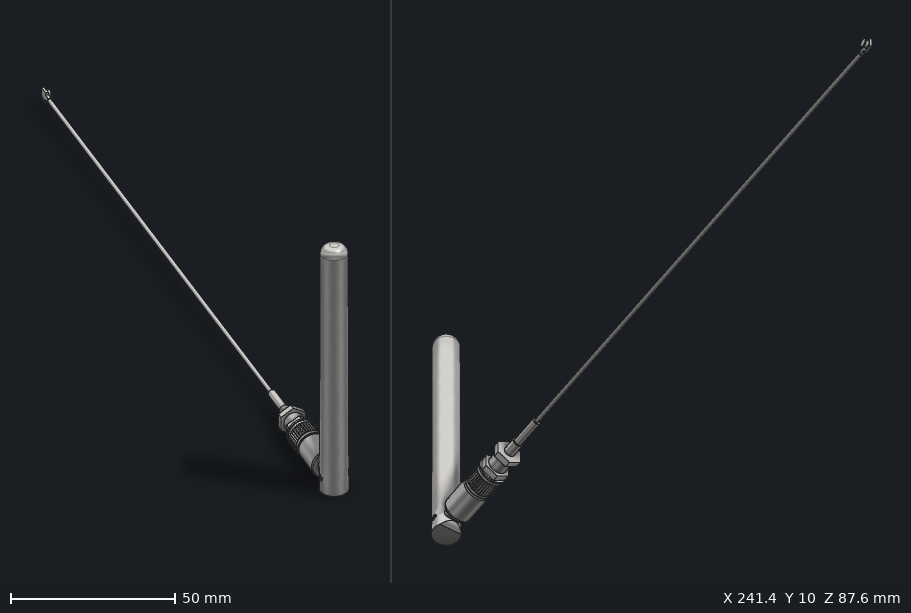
import cadquery as cq
import math


PLUG_TAIL_END = 5.5
SLEEVE_START = 186.5
COLLAR_START = 196.8
FLANGE_START = 201.5
FLANGE_END = 203.8
HEX_NUT_START = 208.4
COUPLING_START = 210.5
COUPLING_END = 219.0
SWIVEL_END = 230.8
WHIP_X = 236.9

PLUG_SIDE = 3.5
PLUG_THICKNESS = 1.0
PLUG_TAIL_WIDTH = 1.7
PLUG_NECK_DIAMETER = 2.5
PLUG_NECK_HEIGHT = 1.2
PLUG_RIM_DIAMETER = 3.0
PLUG_RIM_HEIGHT = 0.36

CABLE_DIAMETER = 1.5
SLEEVE_DIAMETER = 2.7
COLLAR_DIAMETER = 3.6
THREAD_DIAMETER = 6.3
HEX_CORNER_DIAMETER = 9.5

COUPLING_DIAMETER = 10.0
COUPLING_BODY_DIAMETER = 9.5
RIM_WIDTH = 0.7
KNURL_START = 212.5
KNURL_END = 217.8
KNURL_COUNT = 36
KNURL_DEPTH = 0.36

SWIVEL_DIAMETER = 9.5
SWIVEL_CHAMFER_LENGTH = 0.7
SWIVEL_CHAMFER_DEPTH = 0.2
STUB_DIAMETER = 5.8

WHIP_BOTTOM = -COUPLING_DIAMETER / 2
WHIP_HEIGHT = 87.6
WHIP_BOTTOM_RADIUS = 4.5
WHIP_TOP_RADIUS = 4.3
DOME_HEIGHT = 3.0
FOLD_RADIUS = 5.5
PIVOT_DIAMETER = 2.0
PIVOT_DEPTH = 0.5

MEETING_X = (COUPLING_START + COUPLING_END) / 2


def rod(start, end, diameter):
    """Round bar along the X axis."""
    return cq.Workplane("YZ", origin=(start, 0, 0)).circle(diameter / 2).extrude(end - start)


def hex_bar(start, end):
    """Hexagonal bar along the X axis with corners at top and bottom."""
    bar = cq.Workplane("YZ", origin=(start, 0, 0)).polygon(6, HEX_CORNER_DIAMETER).extrude(end - start)
    return bar.rotate((0, 0, 0), (1, 0, 0), 90)


def make_plug():
    """Flat coax plug with a round mating socket on its +Y side."""
    block = cq.Workplane("XY").box(PLUG_SIDE, PLUG_THICKNESS, PLUG_SIDE).translate((PLUG_SIDE / 2, 0, 0))
    tail_length = PLUG_TAIL_END - PLUG_SIDE
    tail = (
        cq.Workplane("XY")
        .box(tail_length, PLUG_THICKNESS, PLUG_TAIL_WIDTH)
        .translate((PLUG_SIDE + tail_length / 2, 0, 0))
    )
    neck_base = cq.Workplane("XZ", origin=(PLUG_RIM_DIAMETER / 2, PLUG_THICKNESS / 2, 0))
    neck = neck_base.circle(PLUG_NECK_DIAMETER / 2).extrude(-PLUG_NECK_HEIGHT)
    rim_base = neck_base.workplane(offset=-PLUG_NECK_HEIGHT)
    rim = rim_base.circle(PLUG_RIM_DIAMETER / 2).extrude(-PLUG_RIM_HEIGHT)
    return block.union(tail).union(neck).union(rim)


def make_cable():
    """Coax cable from the plug to the inside of the jack flange."""
    return rod(PLUG_TAIL_END, FLANGE_START, CABLE_DIAMETER)


def make_jack():
    """Bulkhead jack: cable sleeve, collar, hex flange and threaded stud."""
    jack = rod(SLEEVE_START, COLLAR_START, SLEEVE_DIAMETER)
    jack = jack.union(rod(COLLAR_START, FLANGE_START, COLLAR_DIAMETER))
    jack = jack.union(hex_bar(FLANGE_START, FLANGE_END))
    jack = jack.union(rod(FLANGE_END, MEETING_X, THREAD_DIAMETER))
    return jack.cut(rod(SLEEVE_START, FLANGE_START, CABLE_DIAMETER))


def make_hex_nut():
    """Panel nut on the jack stud."""
    nut = hex_bar(HEX_NUT_START, COUPLING_START)
    return nut.cut(rod(HEX_NUT_START, COUPLING_START, THREAD_DIAMETER))


def knurl_outline():
    """Closed zigzag of knurl tips and roots."""
    tip_radius = COUPLING_DIAMETER / 2
    points = []
    for step in range(2 * KNURL_COUNT):
        radius = tip_radius - KNURL_DEPTH * (step % 2)
        angle = math.pi * step / KNURL_COUNT
        points.append((radius * math.cos(angle), radius * math.sin(angle)))
    return points


def make_coupling_nut():
    """Coupling nut with a raised rim and a straight knurled band."""
    nut = rod(COUPLING_START, COUPLING_END, COUPLING_BODY_DIAMETER)
    nut = nut.cut(rod(KNURL_START, KNURL_END, COUPLING_BODY_DIAMETER))
    band = (
        cq.Workplane("YZ", origin=(KNURL_START, 0, 0))
        .polyline(knurl_outline())
        .close()
        .extrude(KNURL_END - KNURL_START)
    )
    nut = nut.union(band)
    nut = nut.union(rod(COUPLING_START, COUPLING_START + RIM_WIDTH, COUPLING_DIAMETER))
    return nut.cut(rod(COUPLING_START, COUPLING_END, THREAD_DIAMETER))


def make_swivel():
    """Swivel barrel with a spigot in the coupling nut and a stub in the whip."""
    radius = SWIVEL_DIAMETER / 2
    end_radius = radius - SWIVEL_CHAMFER_DEPTH
    barrel = (
        cq.Workplane("XY")
        .moveTo(COUPLING_END, 0)
        .lineTo(COUPLING_END, -end_radius)
        .lineTo(COUPLING_END + SWIVEL_CHAMFER_LENGTH, -radius)
        .lineTo(SWIVEL_END - SWIVEL_CHAMFER_LENGTH, -radius)
        .lineTo(SWIVEL_END, -end_radius)
        .lineTo(SWIVEL_END, 0)
        .close()
        .revolve(360, (0, 0, 0), (1, 0, 0))
    )
    spigot = rod(MEETING_X, COUPLING_END, THREAD_DIAMETER)
    stub = rod(SWIVEL_END, WHIP_X, STUB_DIAMETER)
    return barrel.union(spigot).union(stub)


def folding_corner():
    """Material outside the folding arc, at the foot of the whip on the -X side."""
    corner = (
        cq.Workplane("XZ", origin=(WHIP_X - FOLD_RADIUS / 2, 0, -FOLD_RADIUS / 2))
        .rect(FOLD_RADIUS, FOLD_RADIUS)
        .extrude(FOLD_RADIUS, both=True)
    )
    swing = cq.Workplane("XZ", origin=(WHIP_X, 0, 0)).circle(FOLD_RADIUS).extrude(FOLD_RADIUS, both=True)
    return corner.cut(swing)


def make_whip():
    """Tapered domed whip with a folding arc, a socket for the stub and pivot recesses."""
    top = WHIP_BOTTOM + WHIP_HEIGHT
    dome_base = top - DOME_HEIGHT
    flat_radius = WHIP_TOP_RADIUS - DOME_HEIGHT
    arc_offset = DOME_HEIGHT * math.sqrt(0.5)
    arc_middle = (flat_radius + arc_offset, dome_base + arc_offset)
    whip = (
        cq.Workplane("XZ")
        .moveTo(0, WHIP_BOTTOM)
        .lineTo(WHIP_BOTTOM_RADIUS, WHIP_BOTTOM)
        .lineTo(WHIP_TOP_RADIUS, dome_base)
        .threePointArc(arc_middle, (flat_radius, top))
        .lineTo(0, top)
        .close()
        .revolve(360, (0, 0, 0), (0, 1, 0))
        .rotate((0, 0, 0), (0, 0, 1), -90)
        .translate((WHIP_X, 0, 0))
    )
    whip = whip.cut(folding_corner())
    whip = whip.cut(rod(SWIVEL_END, WHIP_X, STUB_DIAMETER))
    for side in (-1, 1):
        floor = side * (WHIP_BOTTOM_RADIUS - PIVOT_DEPTH)
        recess = (
            cq.Workplane("XZ", origin=(WHIP_X, floor, 0))
            .circle(PIVOT_DIAMETER / 2)
            .extrude(-side * WHIP_BOTTOM_RADIUS)
        )
        whip = whip.cut(recess)
    return whip


plug = make_plug()
cable = make_cable()
jack = make_jack()
hex_nut = make_hex_nut()
coupling_nut = make_coupling_nut()
swivel = make_swivel()
whip = make_whip()

result = cq.Compound.makeCompound(
    [
        plug.val(),
        cable.val(),
        jack.val(),
        hex_nut.val(),
        coupling_nut.val(),
        swivel.val(),
        whip.val(),
    ]
)